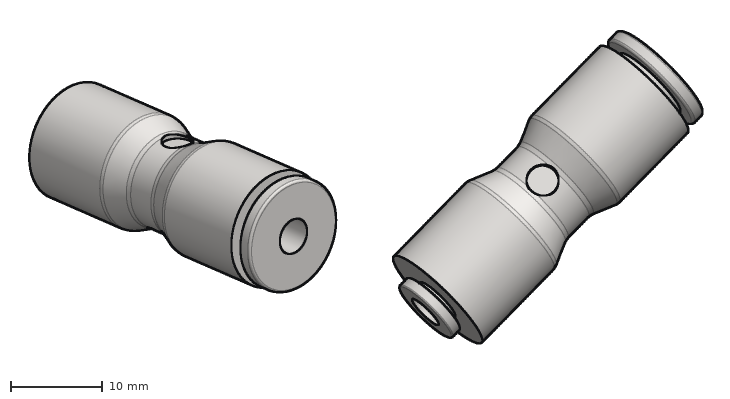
import cadquery as cq

total_length = 37.43
bore_radius = 2.02

body_radius = 6.755
body_start = -16.75
body_end = 16.02
waist_radius = 5.45
waist_center = -0.07
waist_half_length = 1.95
shoulder_half_length = 5.0
waist_blend = 1.5
shoulder_blend = 1.12
pick_margin = 0.05

small_flange_radius = 4.05
small_flange_width = 1.3
small_stem_radius = 2.7
small_flange_round = 0.15

large_flange_radius = 6.5
large_flange_width = 1.7
large_stem_radius = 4.6
large_flange_round = 0.3

recess_radius = 1.75
recess_floor = 4.85


def cylinder(start, end, radius):
    """Solid cylinder along X between two positions."""
    return cq.Workplane("YZ", origin=(start, 0, 0)).circle(radius).extrude(end - start)


def make_body():
    """Revolved body with rounded transitions around the waist."""
    left_shoulder = waist_center - shoulder_half_length
    left_foot = waist_center - waist_half_length
    right_foot = waist_center + waist_half_length
    right_shoulder = waist_center + shoulder_half_length
    body = (
        cq.Workplane("XY")
        .moveTo(body_start, 0)
        .lineTo(body_start, body_radius)
        .lineTo(left_shoulder, body_radius)
        .lineTo(left_foot, waist_radius)
        .lineTo(right_foot, waist_radius)
        .lineTo(right_shoulder, body_radius)
        .lineTo(body_end, body_radius)
        .lineTo(body_end, 0)
        .close()
        .revolve(360, (0, 0, 0), (1, 0, 0))
    )
    corners = (
        (left_shoulder, shoulder_blend),
        (left_foot, waist_blend),
        (right_foot, waist_blend),
        (right_shoulder, shoulder_blend),
    )
    for position, blend in corners:
        ring = cq.selectors.BoxSelector(
            (position - pick_margin, -body_radius, -body_radius),
            (position + pick_margin, body_radius, body_radius),
        )
        body = body.edges("%CIRCLE").edges(ring).fillet(blend)
    return body


def make_flange(start, width, radius, rounding):
    """Collar flange with both outer edges rounded."""
    return cylinder(start, start + width, radius).edges("%CIRCLE").fillet(rounding)


half_length = total_length / 2
small_flange = make_flange(-half_length, small_flange_width, small_flange_radius, small_flange_round)
small_stem = cylinder(-half_length + small_flange_width / 2, body_start, small_stem_radius)

large_flange_start = half_length - large_flange_width
large_flange = make_flange(large_flange_start, large_flange_width, large_flange_radius, large_flange_round)
large_stem = cylinder(body_end, half_length - large_flange_width / 2, large_stem_radius)

recess = (
    cq.Workplane("XY", origin=(waist_center, 0, recess_floor))
    .circle(recess_radius)
    .extrude(body_radius - recess_floor)
)
bore = cylinder(-half_length, half_length, bore_radius)

result = (
    make_body()
    .union(small_stem)
    .union(small_flange)
    .union(large_stem)
    .union(large_flange)
    .cut(recess)
    .cut(bore)
)